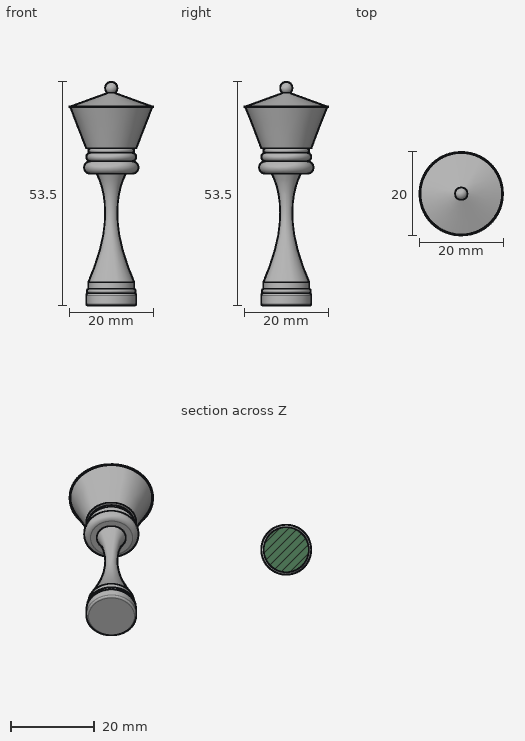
import cadquery as cq
import math

total_height = 53.5

foot_radius = 6.0
foot_height = 3.0
foot_edge_radius = 0.5
foot_bead_radius = 5.9
foot_bead_height = 1.0
plinth_radius = 5.5
plinth_top_z = 5.55
waist_radius = 1.5
waist_z = 22.75
column_top_radius = 3.5

collar_bottom_z = 31.5
collar_rings = [(6.55, 3.0), (6.0, 2.05), (5.5, 1.0)]
crown_bottom_z = collar_bottom_z + sum(height for _, height in collar_rings)

cup_bottom_radius = 6.0
cup_top_radius = 9.8
rim_radius = 10.0
rim_bottom_z = 47.4
rim_height = 0.2
lid_edge_radius = 9.75
lid_apex_z = 51.15
ball_radius = 1.5


def half_round(profile, outer_radius, height, bottom_z):
    """Add the rounded edge of a ring, running upwards, to a radius-height profile."""
    round_radius = height / 2
    inner_radius = outer_radius - round_radius
    return (
        profile.lineTo(inner_radius, bottom_z)
        .threePointArc((outer_radius, bottom_z + round_radius), (inner_radius, bottom_z + height))
    )


def revolve_profile(profile):
    """Close a radius-height profile and turn it around the Z axis."""
    return profile.close().revolve(360, (0, 0, 0), (0, 1, 0))


def make_stem():
    bead_top_z = foot_height + foot_bead_height
    corner_radius = foot_radius - foot_edge_radius
    arc_offset = foot_edge_radius * math.sqrt(0.5)
    lower_arc_z = foot_edge_radius
    upper_arc_z = foot_height - foot_edge_radius
    profile = (
        cq.Workplane("XZ")
        .moveTo(0, 0)
        .lineTo(corner_radius, 0)
        .threePointArc((corner_radius + arc_offset, lower_arc_z - arc_offset), (foot_radius, lower_arc_z))
        .lineTo(foot_radius, upper_arc_z)
        .threePointArc((corner_radius + arc_offset, upper_arc_z + arc_offset), (corner_radius, foot_height))
    )
    profile = half_round(profile, foot_bead_radius, foot_bead_height, foot_height)
    column_curve = [
        (4.0, 9.35),
        (2.95, 12.6),
        (2.15, 15.85),
        (waist_radius, waist_z),
        (2.35, 28.7),
        (column_top_radius, collar_bottom_z),
    ]
    profile = (
        profile.lineTo(plinth_radius, bead_top_z)
        .lineTo(plinth_radius, plinth_top_z)
        .spline(column_curve, includeCurrent=True)
        .lineTo(0, collar_bottom_z)
    )
    return revolve_profile(profile)


def make_collar():
    profile = cq.Workplane("XZ").moveTo(0, collar_bottom_z)
    ring_bottom_z = collar_bottom_z
    for outer_radius, height in collar_rings:
        profile = half_round(profile, outer_radius, height, ring_bottom_z)
        ring_bottom_z += height
    return revolve_profile(profile.lineTo(0, crown_bottom_z))


def make_crown():
    rim_top_z = rim_bottom_z + rim_height
    profile = (
        cq.Workplane("XZ")
        .moveTo(0, crown_bottom_z)
        .lineTo(cup_bottom_radius, crown_bottom_z)
        .lineTo(cup_top_radius, rim_bottom_z)
        .lineTo(rim_radius, rim_bottom_z)
        .lineTo(rim_radius, rim_top_z)
        .lineTo(lid_edge_radius, rim_top_z)
        .lineTo(0, lid_apex_z)
    )
    ball = cq.Workplane("XY").sphere(ball_radius).translate((0, 0, total_height - ball_radius))
    return revolve_profile(profile).union(ball)


stem = make_stem()
collar = make_collar()
crown = make_crown()

result = cq.Compound.makeCompound([stem.val(), collar.val(), crown.solids().val()])